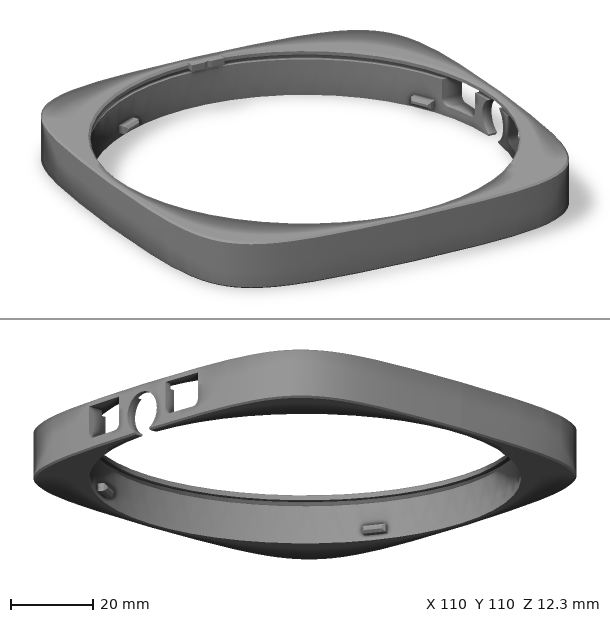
import cadquery as cq
import math

side = 110.0
half_side = side / 2
height = 12.3
edge_chamfer = 0.4

handle_reach = 54.2
handle_offset = 52.1

bore_radius = 52.6
lip_radius = 52.2
mouth_chamfer = 0.5
groove_floor = 9.5
groove_top = 10.9
groove_depth = 1.1

tab_root_radius = half_side - 1.1

tab_count = 4
tab_first_angle = 27.0
tab_width = 5.9
tab_inner_radius = 50.2
tab_bottom = 1.3
tab_top = 3.3
tab_bevel = 0.7

pointer_center_y = 1.2
pointer_width = 9.0
pointer_inner_radius = 50.5
pointer_thickness = 1.5
pointer_notch_depth = 0.4
pointer_notch_width = 1.8

window_offset = 13.6
window_width = 11.0
window_bottom = 2.6
window_corner = 1.6
keyhole_radius = 5.2
keyhole_height = 5.1
keyhole_throat = 4.8


def outline(inset):
    """Closed outline, shrunk so that its mid-sides move in by the inset."""
    scale = (half_side - inset) / half_side
    quarter = [
        (handle_reach * scale, handle_offset * scale),
        (handle_offset * scale, handle_reach * scale),
        (0, half_side * scale),
    ]
    wire = cq.Workplane("XY").moveTo(half_side * scale, 0)
    for quarter_turn in range(4):
        angle = math.radians(90 * quarter_turn)
        cosine = math.cos(angle)
        sine = math.sin(angle)
        points = [(x * cosine - y * sine, x * sine + y * cosine) for x, y in quarter]
        wire = wire.bezier(points, includeCurrent=True)
    return wire.close().wire().val()


def layer(lower_inset, upper_inset, bottom, top):
    """Straight-sided slab between two insets of the outline."""
    lower = outline(lower_inset).translate(cq.Vector(0, 0, bottom))
    upper = outline(upper_inset).translate(cq.Vector(0, 0, top))
    return cq.Workplane(cq.Solid.makeLoft([lower, upper], True))


def frame():
    """Rounded-square slab with bevelled top and bottom edges."""
    slab = layer(0, 0, edge_chamfer, height - edge_chamfer)
    slab = slab.union(layer(edge_chamfer, 0, 0, edge_chamfer))
    return slab.union(layer(0, edge_chamfer, height - edge_chamfer, height))


def bore():
    """Revolved cutter for the opening, its chamfered mouth and the groove."""
    groove_radius = bore_radius + groove_depth
    profile = [
        (0, 0),
        (bore_radius, 0),
        (bore_radius, groove_floor),
        (groove_radius, groove_floor),
        (groove_radius, groove_top),
        (lip_radius, groove_top),
        (lip_radius, height - mouth_chamfer),
        (lip_radius + mouth_chamfer, height),
        (0, height),
    ]
    return cq.Workplane("XZ").polyline(profile).close().revolve(360, (0, 0), (0, 1))


def windows():
    """Cutter for two windows in the +Y wall, round at the lower corners and open to the groove."""
    window = (
        cq.Workplane("XY")
        .box(window_width, half_side, groove_top - window_bottom, centered=(True, False, False))
        .edges("|Y and <Z")
        .fillet(window_corner)
        .translate((0, half_side / 2, window_bottom))
    )
    right = window.translate((window_offset, 0, 0))
    left = window.translate((-window_offset, 0, 0))
    return right.union(left)


def keyhole():
    """Round cutter through the +Y wall, with a straight throat opening at the bottom face."""
    circle = cq.Workplane("XZ").center(0, keyhole_height).circle(keyhole_radius).extrude(-side)
    throat = cq.Workplane("XY").box(keyhole_throat, side, keyhole_height, centered=(True, False, False))
    return circle.union(throat)


def snap_tab(angle):
    """Bevelled tab on the bore wall at the given angle."""
    length = tab_root_radius - tab_inner_radius
    tab = (
        cq.Workplane("XY")
        .box(length, tab_width, tab_top - tab_bottom, centered=(False, True, False))
        .faces("<X")
        .edges()
        .chamfer(tab_bevel)
        .translate((tab_inner_radius, 0, tab_bottom))
    )
    return tab.rotate((0, 0, 0), (0, 0, 1), angle)


def pointer_tab():
    """Flat tab flush with the top face, with a small V notch in its inner edge."""
    outer_x = -tab_root_radius
    inner_x = -pointer_inner_radius
    half_width = pointer_width / 2
    half_notch = pointer_notch_width / 2
    plan = [
        (outer_x, -half_width),
        (inner_x, -half_width),
        (inner_x, -half_notch),
        (inner_x - pointer_notch_depth, 0),
        (inner_x, half_notch),
        (inner_x, half_width),
        (outer_x, half_width),
    ]
    tab = cq.Workplane("XY").polyline(plan).close().extrude(pointer_thickness)
    return tab.translate((0, pointer_center_y, height - pointer_thickness))


result = frame().cut(bore()).cut(windows()).cut(keyhole()).union(pointer_tab())
for index in range(tab_count):
    result = result.union(snap_tab(tab_first_angle + index * 360 / tab_count))